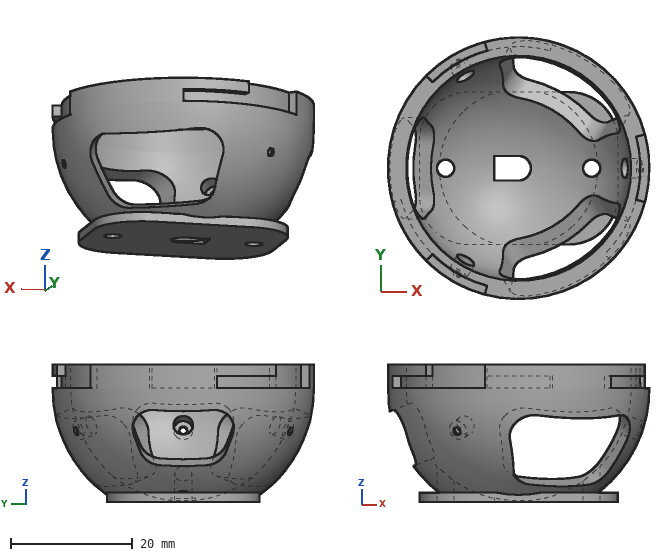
import cadquery as cq
import math

outer_radius = 43.0 / 2
inner_radius = 37.0 / 2
ring_height = 4.0
overall_height = 22.65
bottom_z = ring_height - overall_height

plate_length = 32.6
plate_width = 25.1
plate_thickness = 1.55
plate_corner_radius = 8.05
plate_hole_diameter = 2.8
plate_hole_offset = 12.0

d_slot_radius = 2.0
d_slot_length = 4.0

slot_inner_radius = 20.0
slot_floor_z = 0.1
track_height = 2.0
entry_half_angle = 15.0
track_start_angle = -45.0
slot_angles = (0.0, 120.0, 240.0)

screw_angles = (0.0, 120.0, 240.0)
screw_drop = 7.0
screw_tilt = math.degrees(math.asin(screw_drop / outer_radius))
screw_hole_diameter = 1.3
counterbore_diameter = 3.2
counterbore_floor_distance = 21.0

window_tilt = 20.8
window_side_slope = 20.0
small_window_angle = 180.0
small_window_top = 4.05
small_window_bottom = -5.73
small_window_top_half_width = 9.8
small_window_fillet = 3.5
large_window_angles = (60.0, -60.0)
large_window_top = 2.85
large_window_bottom = -9.93
large_window_top_half_width = 12.86
large_window_fillet = 3.65

reach = 2 * outer_radius


def tilted_plane(angle, tilt):
    """Plane through the origin whose normal points outwards at `angle` about Z and down by `tilt`.

    Its local x runs horizontally and its local y runs upwards.
    """
    a = math.radians(angle)
    t = math.radians(tilt)
    normal = (math.cos(a) * math.cos(t), math.sin(a) * math.cos(t), -math.sin(t))
    horizontal = (-math.sin(a), math.cos(a), 0)
    return cq.Plane(origin=(0, 0, 0), xDir=horizontal, normal=normal)


def make_bowl_blank():
    """Solid lower half of the outer sphere, trimmed at the base, with the ring on top."""
    start_radius = math.sqrt(outer_radius**2 - bottom_z**2)
    middle_angle = math.asin(bottom_z / outer_radius) / 2
    return (
        cq.Workplane("XZ")
        .moveTo(0, bottom_z)
        .lineTo(start_radius, bottom_z)
        .threePointArc(
            (outer_radius * math.cos(middle_angle), outer_radius * math.sin(middle_angle)),
            (outer_radius, 0),
        )
        .lineTo(outer_radius, ring_height)
        .lineTo(0, ring_height)
        .close()
        .revolve(360, (0, 0, 0), (0, 1, 0))
    )


def make_cavity():
    """Inner sphere with the straight bore of the ring above it."""
    bore = cq.Workplane("XY").circle(inner_radius).extrude(ring_height)
    return cq.Workplane("XY").sphere(inner_radius).union(bore)


def make_plate():
    """Flat rectangular base with rounded corners."""
    return (
        cq.Workplane("XY", origin=(0, 0, bottom_z))
        .rect(plate_length, plate_width)
        .extrude(plate_thickness)
        .edges("|Z")
        .fillet(plate_corner_radius)
    )


def make_window(angle, top, bottom, top_half_width, fillet):
    """Prism with a rounded trapezoid section, wider at the top, pointing outwards at `angle`."""
    slope = math.tan(math.radians(window_side_slope))
    bottom_half_width = top_half_width - (top - bottom) * slope
    plane = tilted_plane(angle, window_tilt)
    corners = [
        (-bottom_half_width, bottom),
        (bottom_half_width, bottom),
        (top_half_width, top),
        (-top_half_width, top),
    ]
    prism = cq.Workplane(plane).polyline(corners).close().extrude(reach)
    return prism.edges(cq.selectors.ParallelDirSelector(plane.zDir)).fillet(fillet)


def slot_sector(start, end, height):
    """Sector from the slot floor upwards and from the slot's inner radius outwards."""
    half_span = math.radians((end - start) / 2)
    far = reach / math.cos(half_span)
    corners = [(far * math.cos(math.radians(a)), far * math.sin(math.radians(a))) for a in (start, end)]
    floor = cq.Workplane("XY", origin=(0, 0, slot_floor_z))
    wedge = floor.polyline([(0, 0)] + corners).close().extrude(height)
    core = floor.circle(slot_inner_radius).extrude(height)
    return wedge.cut(core)


def make_bayonet_slot(angle):
    """Entry centred on `angle` and the longer track that runs on below the ring's lip."""
    entry = slot_sector(angle - entry_half_angle, angle + entry_half_angle, ring_height - slot_floor_z)
    track = slot_sector(angle + track_start_angle, angle + entry_half_angle, track_height)
    return entry.union(track)


def make_screw_hole(angle):
    """Hole from the sphere's centre out through the wall, with a wider counterbore inside."""
    plane = tilted_plane(angle, screw_tilt)
    hole = cq.Workplane(plane).circle(screw_hole_diameter / 2).extrude(reach)
    counterbore = cq.Workplane(plane).circle(counterbore_diameter / 2).extrude(counterbore_floor_distance)
    return hole.union(counterbore)


def make_floor_openings():
    """D-shaped opening and the two plate holes, all straight down through the floor."""
    floor = cq.Workplane("XY", origin=(0, 0, bottom_z))
    depth = -bottom_z
    square_end = floor.center(-d_slot_length / 2, 0).rect(d_slot_length, 2 * d_slot_radius).extrude(depth)
    round_end = floor.circle(d_slot_radius).extrude(depth)
    holes = (
        floor.pushPoints([(-plate_hole_offset, 0), (plate_hole_offset, 0)])
        .circle(plate_hole_diameter / 2)
        .extrude(depth)
    )
    return square_end.union(round_end).union(holes)


body = make_bowl_blank()
body = body.cut(
    make_window(
        small_window_angle,
        small_window_top,
        small_window_bottom,
        small_window_top_half_width,
        small_window_fillet,
    )
)
for window_angle in large_window_angles:
    body = body.cut(
        make_window(
            window_angle,
            large_window_top,
            large_window_bottom,
            large_window_top_half_width,
            large_window_fillet,
        )
    )
body = body.union(make_plate())
body = body.cut(make_cavity())
for slot_angle in slot_angles:
    body = body.cut(make_bayonet_slot(slot_angle))
for screw_angle in screw_angles:
    body = body.cut(make_screw_hole(screw_angle))
result = body.cut(make_floor_openings())